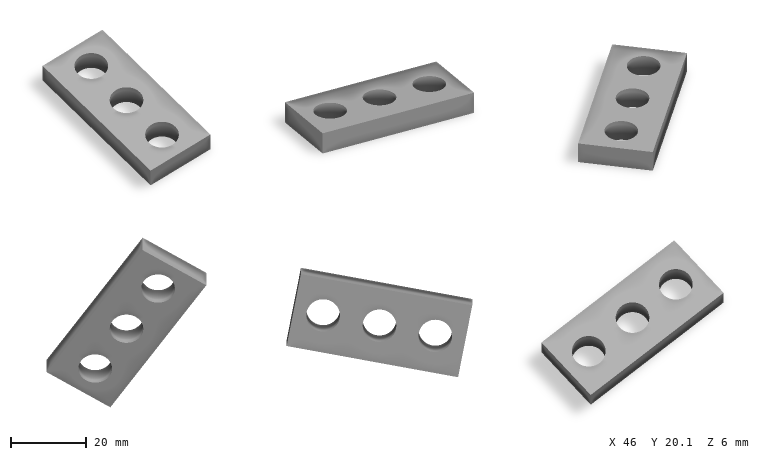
import cadquery as cq

length = 45.95
width = 20.1
thickness = 6.0

hole_diameter = 8.85
left_pitch = 15.0
right_pitch = 15.12
hole_centers = [(-left_pitch, 0), (0, 0), (right_pitch, 0)]

plate = cq.Workplane("XY").box(length, width, thickness)

result = (
    plate.faces(">Z")
    .workplane()
    .pushPoints(hole_centers)
    .hole(hole_diameter)
)